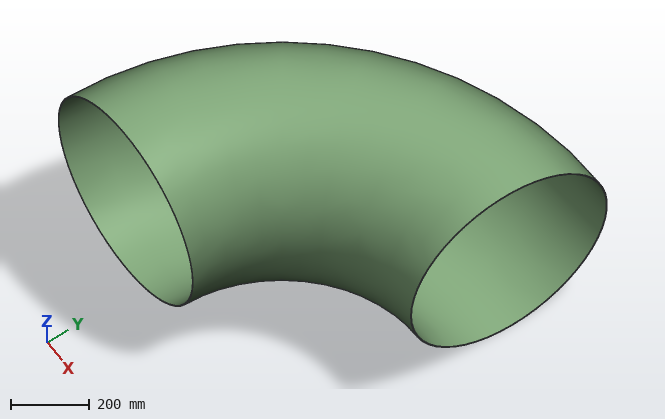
import cadquery as cq

overall_length = 1003.0
outer_diameter = 606.0
wall_thickness = 3.0
bend_angle = 90.0

outer_radius = outer_diameter / 2
inner_radius = outer_radius - wall_thickness
bend_radius = overall_length - outer_radius

result = (
    cq.Workplane("XZ")
    .center(-bend_radius, 0)
    .circle(outer_radius)
    .circle(inner_radius)
    .revolve(bend_angle, (bend_radius, 0), (bend_radius, -1))
)